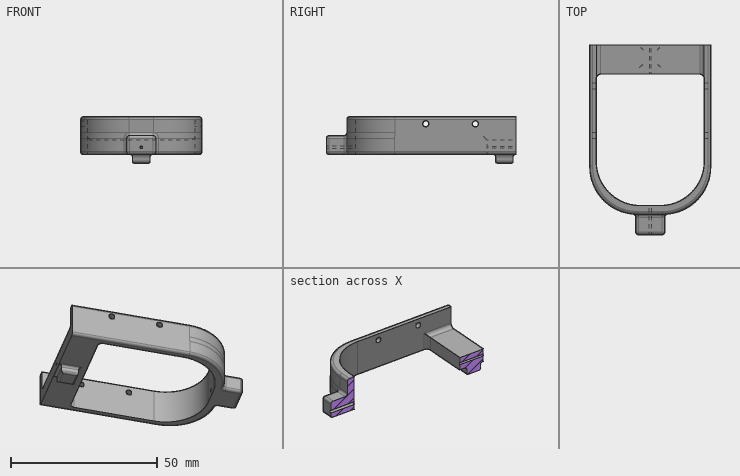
import cadquery as cq
import math


band_width = 41.5
band_length = 58.0
band_height = 13.0
upper_corner_radius = 16.5
lower_corner_radius = 16.3
blend_bottom = 5.5
blend_top = 7.5
side_wall = 2.3
end_wall = 3.05
inner_corner_radius = 15.0
edge_round = 1.0

overall_length = 65.0
tab_width = 9.95
tab_height = 6.5
tab_overlap = end_wall / 2

crossbar_depth = 10.0
crossbar_height = 5.0
crossbar_fillet = 1.5

foot_side = 6.05
foot_height = 3.0
foot_rear_gap = 1.05
foot_root_fillet = 0.8
foot_tip_round = 0.7

tab_hole_diameter = 0.9
crossbar_hole_diameter = 0.6
pin_hole_height = 2.55
side_hole_diameter = 2.0
side_hole_height = 10.5
side_hole_setbacks = (14.0, 30.95)

edge_tolerance = 0.05

inner_width = band_width - 2 * side_wall
inner_length = band_length - end_wall


def u_outline(width, length, corner_radius, z):
    """Closed U outline: straight rear edge, two quarter-round corners at the -Y end."""
    half = width / 2
    flat = half - corner_radius
    arc_start = -(length - corner_radius)
    reach = corner_radius * math.sin(math.radians(45))
    return (
        cq.Workplane("XY", origin=(0, 0, z))
        .moveTo(-half, 0)
        .lineTo(-half, arc_start)
        .threePointArc((-flat - reach, arc_start - reach), (-flat, -length))
        .lineTo(flat, -length)
        .threePointArc((flat + reach, arc_start - reach), (half, arc_start))
        .lineTo(half, 0)
        .close()
    )


def band_blank():
    """Solid U: the corner radius eases from the lower value to the upper one in the blend."""
    lower = u_outline(band_width, band_length, lower_corner_radius, 0).extrude(blend_bottom)
    upper = u_outline(band_width, band_length, upper_corner_radius, blend_top)
    upper = upper.extrude(band_height - blend_top)
    blend_base = u_outline(band_width, band_length, lower_corner_radius, blend_bottom).val()
    blend_roof = u_outline(band_width, band_length, upper_corner_radius, blend_top).val()
    blend = cq.Workplane(cq.Solid.makeLoft([blend_base, blend_roof], True))
    return lower.union(blend).union(upper)


def tab():
    """Block on the closed end with rounded front, top and upright edges."""
    front = -overall_length
    rear = -(band_length - tab_overlap)
    block = cq.Workplane("XY").box(tab_width, rear - front, tab_height, centered=(True, False, False))
    block = block.translate((0, front, 0))
    return block.edges("(|Z and <Y) or >Z").edges("not(>Y)").fillet(edge_round)


def edges_in_box(body, corner_a, corner_b):
    return body.edges(cq.selectors.BoxSelector(corner_a, corner_b))


def outer_body():
    """Band blank with its tab, root fillet and rounded outside rims."""
    body = band_blank().union(tab())
    root_reach = tab_width / 2 + edge_tolerance
    tab_root = edges_in_box(
        body,
        (-root_reach, -band_length - edge_tolerance, edge_tolerance),
        (root_reach, -band_length + end_wall / 2, tab_height + edge_tolerance),
    )
    body = tab_root.fillet(edge_round)
    return body.faces(">Z or <Z").edges("not(>Y)").fillet(edge_round)


def hollow_out(body):
    """Clear the inside of the U from top to bottom, leaving the band wall."""
    opening = u_outline(inner_width, inner_length, inner_corner_radius, 0).extrude(band_height)
    return body.cut(opening)


def add_crossbar(body):
    """Bar between the open ends, blended into both side walls on its top and front faces."""
    bar = cq.Workplane("XY").box(
        inner_width + side_wall, crossbar_depth, crossbar_height, centered=(True, False, False)
    )
    body = body.union(bar.translate((0, -crossbar_depth, 0)))
    for side in (-1, 1):
        wall_x = side * inner_width / 2
        roots = edges_in_box(
            body,
            (wall_x - edge_tolerance, -crossbar_depth - edge_tolerance, edge_tolerance),
            (wall_x + edge_tolerance, -edge_tolerance, crossbar_height + edge_tolerance),
        )
        body = roots.fillet(crossbar_fillet)
    return body


def add_foot(body):
    """Square foot below the crossbar, with a filleted root and a rounded tip."""
    foot = (
        cq.Workplane("XY")
        .box(foot_side, foot_side, foot_height + crossbar_height / 2, centered=(True, False, False))
        .translate((0, -foot_rear_gap - foot_side, -foot_height))
    )
    body = body.union(foot.faces("<Z").edges().fillet(foot_tip_round))
    root = edges_in_box(
        body,
        (-foot_side / 2 - edge_tolerance, -foot_rear_gap - foot_side - edge_tolerance, -edge_tolerance),
        (foot_side / 2 + edge_tolerance, -foot_rear_gap + edge_tolerance, edge_tolerance),
    )
    return root.fillet(foot_root_fillet)


def pin_hole(diameter, start_y, length):
    """Fine hole on the centre line, running toward -Y from start_y."""
    circle = cq.Workplane("XZ", origin=(0, start_y, pin_hole_height)).circle(diameter / 2)
    return circle.extrude(length)


def side_holes():
    """Cross holes along X through both side walls."""
    centers = [(-setback, side_hole_height) for setback in side_hole_setbacks]
    circles = cq.Workplane("YZ").pushPoints(centers).circle(side_hole_diameter / 2)
    return circles.extrude(band_width / 2, both=True)


result = add_foot(add_crossbar(hollow_out(outer_body())))
result = result.cut(pin_hole(tab_hole_diameter, -inner_length / 2, overall_length - inner_length / 2))
result = result.cut(pin_hole(crossbar_hole_diameter, 0, inner_length / 2))
result = result.cut(side_holes())